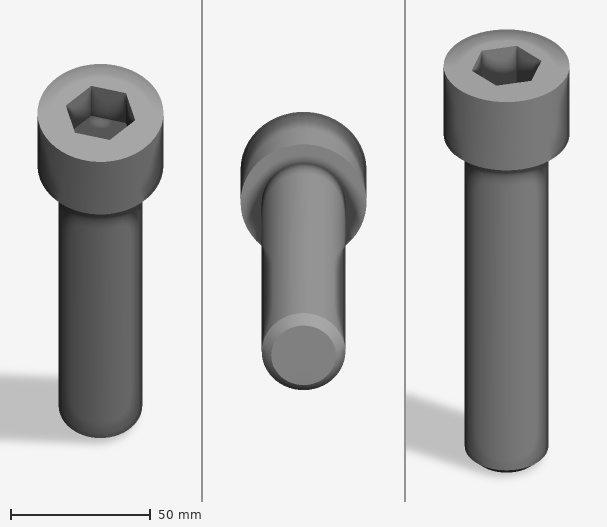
import cadquery as cq
import math

total_length = 170.0
head_diameter = 45.0
head_height = 30.0
shank_diameter = 30.0
tip_diameter = 23.1
socket_across_flats = 22.3
socket_depth = 17.0

head_radius = head_diameter / 2
shank_radius = shank_diameter / 2
tip_radius = tip_diameter / 2
tip_chamfer_height = shank_radius - tip_radius
head_underside = total_length - head_height


def make_body():
    """Revolve the half profile of head, cylindrical shank and chamfered tip."""
    profile = (
        cq.Workplane("XZ")
        .lineTo(tip_radius, 0)
        .lineTo(shank_radius, tip_chamfer_height)
        .lineTo(shank_radius, head_underside)
        .lineTo(head_radius, head_underside)
        .lineTo(head_radius, total_length)
        .lineTo(0, total_length)
        .close()
    )
    return profile.revolve(360, (0, 0, 0), (0, 1, 0))


def make_socket():
    """Hexagonal key socket with two corners on the X axis."""
    across_corners = socket_across_flats / math.cos(math.pi / 6)
    return (
        cq.Workplane("XY")
        .workplane(offset=total_length - socket_depth)
        .polygon(6, across_corners)
        .extrude(socket_depth)
    )


result = make_body().cut(make_socket())